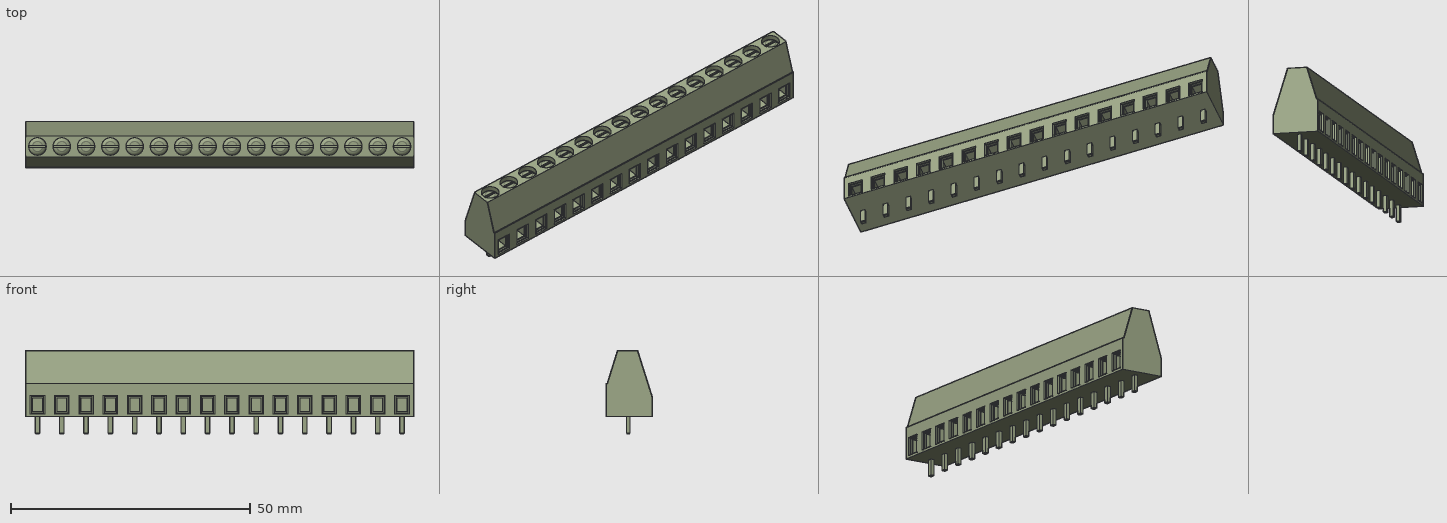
import cadquery as cq

pole_count = 16
pitch = 5.08
length = pole_count * pitch
pole_positions = [(i - (pole_count - 1) / 2) * pitch for i in range(pole_count)]

front_y = -4.7
depth = 9.8
back_y = front_y + depth
body_height = 13.8
top_front_y = -2.3
top_back_y = 2.0
front_shoulder_z = 6.9
back_shoulder_z = 4.0
shoulder_step = 0.25

pad_thickness = 0.1
pad_inset = 0.12

entry_width = 3.05
entry_height = 3.9
entry_bottom_z = 0.55
entry_ring_inset = 0.25
entry_ring_depths = [0.4, 0.8, 3.0]

screw_y = (top_front_y + top_back_y) / 2
well_diameter = 3.68
well_depth = 1.2
head_flat_diameter = 2.1
head_height = 0.6
dome_bulge = 0.09
slot_width = 0.5
slot_depth = 0.4

overall_height = 17.4
pin_width = 1.0
pin_thickness = 0.75
pin_length = overall_height - body_height
pin_tip_chamfer = 0.15


def extrude_profile(outline, profile_length):
    """Prism along X, centred on X = 0."""
    return cq.Workplane("YZ").polyline(outline).close().extrude(profile_length / 2, both=True)


def housing_outline(inset):
    """Housing profile with its front and back pulled in along Y by the inset."""
    return [
        (front_y + inset, 0),
        (front_y + inset, front_shoulder_z),
        (front_y + shoulder_step + inset, front_shoulder_z),
        (top_front_y + inset, body_height),
        (top_back_y - inset, body_height),
        (back_y - inset, back_shoulder_z),
        (back_y - inset, 0),
    ]


def make_housing():
    body = extrude_profile(housing_outline(0), length - 2 * pad_thickness)
    pads = extrude_profile(housing_outline(pad_inset), length)
    return body.union(pads)


def make_wire_entry(x):
    entry_centre_z = entry_bottom_z + entry_height / 2
    front = cq.Workplane("XZ", origin=(x, front_y, entry_centre_z))
    entry = cq.Workplane("XY")
    for ring, ring_depth in enumerate(entry_ring_depths):
        shrink = 2 * ring * entry_ring_inset
        entry = entry.union(front.rect(entry_width - shrink, entry_height - shrink).extrude(-ring_depth))
    return entry


def make_screw_head():
    """Slotted head standing on Z = 0, as wide as the well."""
    rim_radius = well_diameter / 2
    flat_radius = head_flat_diameter / 2
    dome_middle = ((rim_radius + flat_radius) / 2 + dome_bulge, head_height / 2 + dome_bulge)
    head = (
        cq.Workplane("XZ")
        .lineTo(rim_radius, 0)
        .threePointArc(dome_middle, (flat_radius, head_height))
        .lineTo(0, head_height)
        .close()
        .revolve(360, (0, 0), (0, 1))
    )
    slot = cq.Workplane("XY").box(well_diameter, slot_width, slot_depth)
    return head.cut(slot.translate((0, 0, head_height - slot_depth / 2)))


def make_screw_recess(x):
    """Space to remove above one screw: the round well less the screw head on its floor."""
    well = cq.Workplane("XY").circle(well_diameter / 2).extrude(well_depth)
    return well.cut(make_screw_head()).translate((x, screw_y, body_height - well_depth))


def make_pin(x):
    pin = cq.Workplane("XY", origin=(x, 0, 0)).rect(pin_width, pin_thickness).extrude(-pin_length)
    return pin.faces("<Z").edges().chamfer(pin_tip_chamfer)


result = make_housing()
for pole_x in pole_positions:
    result = result.cut(make_wire_entry(pole_x))
    result = result.cut(make_screw_recess(pole_x))
    result = result.union(make_pin(pole_x))